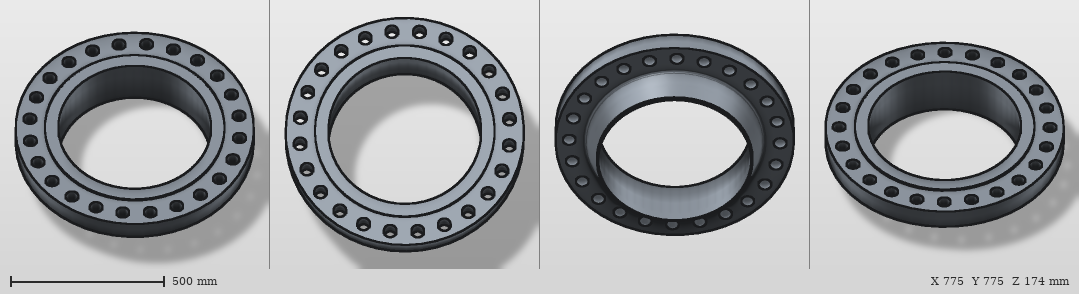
import cadquery as cq

flange_diameter = 775.0
flange_thickness = 70.5
face_diameter = 584.0
face_height = 6.0

total_height = 174.0
neck_root_diameter = 581.0
neck_end_diameter = 507.0
land_height = 9.0
root_fillet = 10.0
edge_match_tolerance = 0.1
bore_diameter = 497.0

bolt_count = 24
bolt_circle_diameter = 685.5
bolt_hole_diameter = 42.0

face_level = total_height
disc_top = face_level - face_height
disc_bottom = disc_top - flange_thickness


def flange_body():
    """Disc, raised face and neck revolved in one piece, still without a bore."""
    profile = (
        cq.Workplane("XZ")
        .moveTo(0, 0)
        .lineTo(neck_end_diameter / 2, 0)
        .lineTo(neck_end_diameter / 2, land_height)
        .lineTo(neck_root_diameter / 2, disc_bottom)
        .lineTo(flange_diameter / 2, disc_bottom)
        .lineTo(flange_diameter / 2, disc_top)
        .lineTo(face_diameter / 2, disc_top)
        .lineTo(face_diameter / 2, face_level)
        .lineTo(0, face_level)
        .close()
    )
    return profile.revolve(360, (0, 0, 0), (0, 1, 0))


def round_neck_root(body):
    """Blend the neck into the underside of the disc."""
    root_edge = body.edges("%CIRCLE").filter(
        lambda edge: abs(edge.radius() - neck_root_diameter / 2) < edge_match_tolerance
    )
    return root_edge.fillet(root_fillet)


def through_holes():
    """Central bore and the ring of bolt holes as cutting cylinders."""
    bore = cq.Workplane("XY").circle(bore_diameter / 2).extrude(total_height)
    bolts = (
        cq.Workplane("XY")
        .workplane(offset=disc_bottom)
        .polarArray(bolt_circle_diameter / 2, 0, 360, bolt_count)
        .circle(bolt_hole_diameter / 2)
        .extrude(flange_thickness)
    )
    return bore, bolts


bore, bolts = through_holes()
result = round_neck_root(flange_body()).cut(bore).cut(bolts)